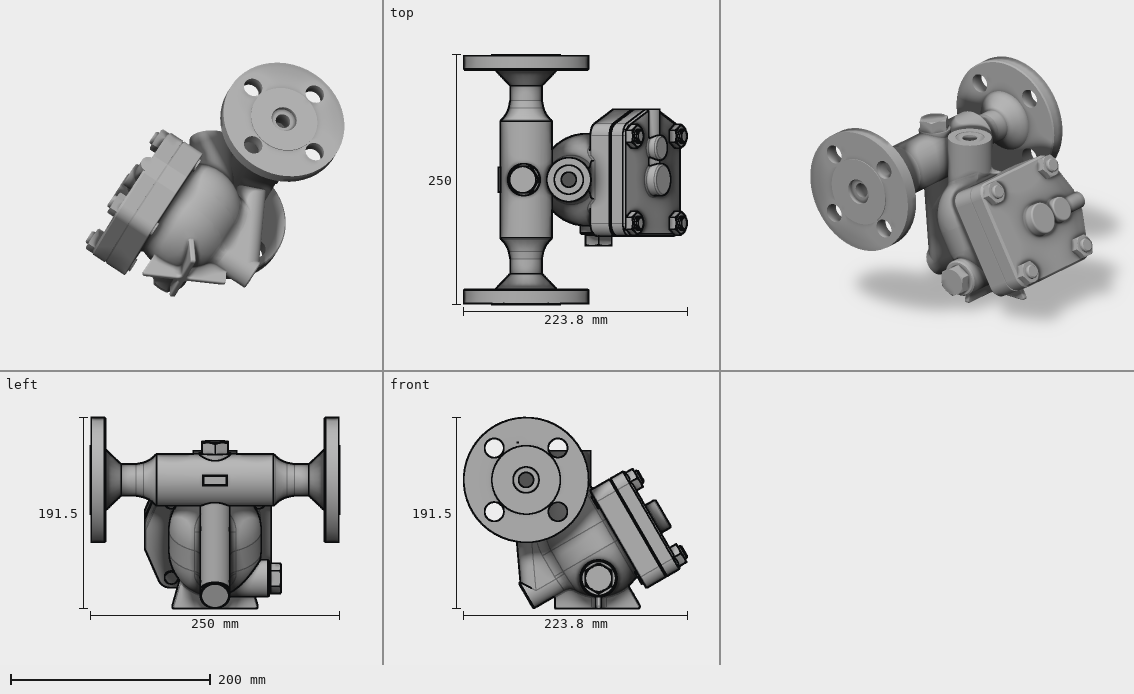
import cadquery as cq
import math

COVER_TILT = math.radians(30)
COVER_DROP = 97.5
LEG_TILT = math.radians(5)

COVER_COS = math.cos(COVER_TILT)
COVER_SIN = math.sin(COVER_TILT)
COVER_FRAME = cq.Plane(
    origin=(COVER_DROP * COVER_SIN, 0, -COVER_DROP * COVER_COS),
    xDir=(0, 1, 0),
    normal=(COVER_COS, 0, COVER_SIN),
)
LEG_FRAME = cq.Plane(
    origin=(0, 0, 0), xDir=(0, 1, 0), normal=(-math.sin(LEG_TILT), 0, math.cos(LEG_TILT))
)
HEAD_TURN_ANGLE = math.radians(30)
SEAM_TOLERANCE = 0.002
OVERLAP = 2.5

HALF_LENGTH = 125.0
FLANGE_DIAMETER = 125.0
FLANGE_THICKNESS = 14.5
FLANGE_CHAMFER = 1.2
FACE_DIAMETER = 68.5
FACE_HEIGHT = 1.0
HUB_RADIUS = 30.8
HUB_LENGTH = 15.5
NECK_DIAMETER = 32.0
NECK_LENGTH = 14.8
COLLAR_RADIUS = 17.5
COLLAR_LENGTH = 7.5
BARREL_DIAMETER = 52.0
BARREL_HALF_LENGTH = 58.2
BARREL_BEVEL = 1.5
BARREL_DROP = 1.0
SHOULDER_SAG = 1.2
BOLT_CIRCLE = 90.0
BOLT_HOLE = 19.0
SOCKET_DIAMETER = 26.0
SOCKET_DEPTH = 5.0
BORE_DIAMETER = 15.0
BORE_DEPTH = 25.0

PLATE_LENGTH = 25.0
PLATE_WIDTH = 10.5
PLATE_OUTER_X = -28.0
PLATE_CENTER_Z = -0.5
PLATE_BORDER = 1.0
PLATE_RECESS = 0.8

PLUG_FLATS = 26.5
TOP_PLUG_SEAT = 26.8
TOP_PLUG_HEIGHT = 11.5
TOP_PLUG_RING = 32.0
DRAIN_PLUG_HEIGHT = 10.5
DRAIN_GASKET = 1.2
DRAIN_GASKET_DIAMETER = 25.0

LEG_DIAMETER = 29.5
CAP_END = -58.0
CAP_DROP = -3.0
CAP_CHAMFER = 1.0
WEB_BLEND = 11.2
WEB_TOP = 62.5

BOWL_RADIUS = 46.2
BOWL_CENTER = 27.5
BOWL_RISE = 24.0

OUTLET_X = 42.8
OUTLET_DIAMETER = 44.0
OUTLET_TOP = 29.2
OUTLET_BOTTOM = -45.0
OUTLET_RECESS_DIAMETER = 29.0
OUTLET_RECESS = 0.8
OUTLET_BORE_DEPTH = 25.0
OUTLET_BLEND = 5.8

DRAIN_DIAMETER = 37.0
DRAIN_Z = -98.5
DRAIN_END = 54.5
DRAIN_CHAMFER = 1.5

PAD_HALF_HEIGHT = 56.5
PAD_HALF_WIDTH = 56.5
PAD_FAR_WIDTH = 70.5
PAD_SHOULDER = 53.2
PAD_POINT_HALF = 11.2
PAD_CORNER = 13.0
PAD_BACK = 50.0
GASKET_BACK = 72.5
COVER_BACK = 74.0
COVER_FACE = 90.2
GASKET_INSET = 0.8
COVER_EDGE = 2.2
FLANGE_EDGE = 1.0
FLANGE_BLEND = 3.0

STUD_SPACING = 87.0
STUD_DIAMETER = 14.0
STUD_BACK = 48.0
STUD_FRONT = 101.5
STUD_CHAMFER = 1.2
NUT_FLATS = 21.0
NUT_FRONT = 98.0

MAIN_BOSS_DIAMETER = 32.0
MAIN_BOSS_FRONT = 102.2
SIDE_BOSS_DIAMETER = 25.0
SIDE_BOSS_FRONT = 100.5
SIDE_BOSS_Y = 32.0
BOSS_EDGE = 1.8
BOSS_BLEND = 1.5
RIB_RADIUS = 8.5
RIB_AXIS = 88.5

FOOT_BOTTOM = -129.0
FOOT_HALF_LENGTH = 43.2
FOOT_HALF_WIDTH = 43.8
FOOT_TOP = -95.0
FOOT_SIDE_SLOPE = math.radians(74)
FOOT_PLATE = 5.5
FOOT_BLEND = 4.8
FOOT_CORNER = 2.5
FOOT_EDGE = 1.5
FOOT_SEAM_BLEND = 1.2

BOWL_X = COVER_DROP * COVER_SIN + BOWL_CENTER * COVER_COS


def placed(shape, frame):
    """Move a shape built in local coordinates to its frame."""
    return cq.Workplane(shape.val().moved(frame.location))


def level(height):
    """Horizontal sketch plane in local coordinates."""
    return cq.Workplane("XY", origin=(0, 0, height))


def rod(diameter, start, end):
    return level(start).circle(diameter / 2).extrude(end - start)


def joined(base, added, blend):
    """Union of two bodies with a fillet along the seam where their surfaces cross."""
    union = base.union(added)

    def on_seam(edge):
        middle = cq.Vertex.makeVertex(*edge.positionAt(0.5).toTuple())
        return all(
            min(face.distance(middle) for face in body.faces().vals()) < SEAM_TOLERANCE
            for body in (base, added)
        )

    seam = [edge for edge in union.edges().vals() if on_seam(edge)]
    return union.newObject(seam).fillet(blend)


def hex_head(flats, start, height):
    """Hexagonal head, corners along local x, with its outer corners turned off."""
    corners = flats / math.cos(math.pi / 6)
    head = level(start).polygon(6, corners).extrude(height)
    turn_in = (corners - flats) / 2
    turn_down = turn_in * math.tan(HEAD_TURN_ANGLE)
    turned = rod(corners, start, start + height).faces(">Z").chamfer(turn_down, turn_in)
    return head.intersect(turned)


def pipe():
    """Barrel with a hollow shoulder, neck, hub and bolted flange at each end."""
    flange_back = HALF_LENGTH - FACE_HEIGHT - FLANGE_THICKNESS
    hub_start = flange_back - HUB_LENGTH
    collar_end = hub_start - NECK_LENGTH
    shoulder_end = collar_end - COLLAR_LENGTH
    barrel = BARREL_DIAMETER / 2
    neck = NECK_DIAMETER / 2
    flange = FLANGE_DIAMETER / 2
    face = FACE_DIAMETER / 2
    shoulder_middle = (
        (barrel + COLLAR_RADIUS) / 2 - SHOULDER_SAG,
        (BARREL_HALF_LENGTH + shoulder_end) / 2,
    )
    half = (
        cq.Workplane("XY")
        .moveTo(0, BARREL_HALF_LENGTH)
        .lineTo(barrel, BARREL_HALF_LENGTH)
        .lineTo(barrel - BARREL_DROP, BARREL_HALF_LENGTH + BARREL_BEVEL)
        .threePointArc(shoulder_middle, (COLLAR_RADIUS, shoulder_end))
        .lineTo(neck, collar_end)
        .lineTo(neck, hub_start)
        .lineTo(HUB_RADIUS, flange_back)
        .lineTo(flange - FLANGE_CHAMFER, flange_back)
        .lineTo(flange, flange_back + FLANGE_CHAMFER)
        .lineTo(flange, HALF_LENGTH - FACE_HEIGHT)
        .lineTo(face, HALF_LENGTH - FACE_HEIGHT)
        .lineTo(face, HALF_LENGTH)
        .lineTo(0, HALF_LENGTH)
        .close()
        .revolve(360, (0, 0, 0), (0, 1, 0))
    )
    end = cq.Workplane("XZ", origin=(0, HALF_LENGTH, 0))
    spacing = BOLT_CIRCLE / math.sqrt(2)
    holes = end.rect(spacing, spacing, forConstruction=True).vertices()
    half = half.cut(holes.circle(BOLT_HOLE / 2).extrude(FLANGE_THICKNESS + HUB_LENGTH))
    half = half.cut(end.circle(SOCKET_DIAMETER / 2).extrude(SOCKET_DEPTH))
    half = half.cut(end.circle(BORE_DIAMETER / 2).extrude(BORE_DEPTH))
    middle = rod(BARREL_DIAMETER, -BARREL_HALF_LENGTH, BARREL_HALF_LENGTH).rotate((0, 0, 0), (1, 0, 0), 90)
    return middle.union(half).union(half.mirror("XZ"))


def name_plate():
    plate = cq.Workplane("XY").box(
        -PLATE_OUTER_X - BARREL_DIAMETER / 4, PLATE_LENGTH, PLATE_WIDTH, centered=(False, True, True)
    )
    plate = plate.translate((PLATE_OUTER_X, 0, PLATE_CENTER_Z))
    return (
        plate.faces("<X").workplane(centerOption="CenterOfMass")
        .rect(PLATE_LENGTH - 2 * PLATE_BORDER, PLATE_WIDTH - 2 * PLATE_BORDER)
        .cutBlind(-PLATE_RECESS)
    )


def top_plug():
    """Hexagonal plug opposite the strainer leg, with its corners pointing along X."""
    ring = rod(TOP_PLUG_RING, 0, TOP_PLUG_SEAT)
    head = hex_head(PLUG_FLATS, TOP_PLUG_SEAT, TOP_PLUG_HEIGHT).rotate((0, 0, 0), (0, 0, 1), 90)
    return placed(ring.union(head), LEG_FRAME)


def strainer_leg():
    """Leg running down from the pipe and stopping on the axis of its slanted cap."""
    leg = placed(rod(LEG_DIAMETER, -2 * COVER_DROP, 0), LEG_FRAME)
    room = level(CAP_END + CAP_CHAMFER).center(0, CAP_DROP + COVER_DROP)
    room = room.rect(2 * LEG_DIAMETER, 2 * COVER_DROP).extrude(2 * COVER_DROP)
    cap = rod(LEG_DIAMETER, CAP_END, BOWL_CENTER).faces("<Z").chamfer(CAP_CHAMFER)
    cap = cap.translate((0, CAP_DROP, 0))
    return leg.intersect(placed(room, COVER_FRAME)).union(placed(cap, COVER_FRAME))


def web():
    """Round-ended slab as wide as the leg, filling the corner between leg, cap and bowl."""
    radius = LEG_DIAMETER / 2
    middle = (CAP_DROP + WEB_TOP - radius) / 2
    slab = level(CAP_END).center(0, middle)
    slab = slab.slot2D(WEB_TOP - CAP_DROP + radius, LEG_DIAMETER, 90).extrude(BOWL_CENTER - CAP_END)
    behind_leg = level(-2 * COVER_DROP).center(0, -COVER_DROP)
    behind_leg = behind_leg.rect(2 * COVER_DROP, 2 * COVER_DROP).extrude(4 * COVER_DROP)
    return placed(slab, COVER_FRAME).intersect(placed(behind_leg, LEG_FRAME))


def bowl():
    """Round-ended bowl stretched up along the cover, stopping inside the body flange."""
    ball = cq.Workplane("XY").sphere(BOWL_RADIUS)
    middle = cq.Workplane("XZ").circle(BOWL_RADIUS).extrude(-BOWL_RISE)
    shape = ball.union(middle).union(ball.translate((0, BOWL_RISE, 0)))
    shape = shape.translate((0, 0, BOWL_CENTER))
    front = level(PAD_BACK + OVERLAP).rect(6 * BOWL_RADIUS, 6 * BOWL_RADIUS).extrude(2 * BOWL_RADIUS)
    return placed(shape.cut(front), COVER_FRAME)


def outlet_boss():
    return rod(OUTLET_DIAMETER, OUTLET_BOTTOM, OUTLET_TOP).translate((OUTLET_X, 0, 0))


def outlet_hole():
    recess = rod(OUTLET_RECESS_DIAMETER, OUTLET_TOP - OUTLET_RECESS, OUTLET_TOP)
    bore = rod(BORE_DIAMETER, OUTLET_TOP - OUTLET_BORE_DEPTH, OUTLET_TOP)
    return recess.union(bore).translate((OUTLET_X, 0, 0))


def drain():
    """Boss and hexagonal plug pointing along -Y, with the plug corners up and down."""
    boss = rod(DRAIN_DIAMETER, 0, DRAIN_END).faces(">Z").chamfer(DRAIN_CHAMFER)
    seat = DRAIN_END + DRAIN_GASKET
    gasket = rod(DRAIN_GASKET_DIAMETER, DRAIN_END, seat)
    head = hex_head(PLUG_FLATS, seat, DRAIN_PLUG_HEIGHT).rotate((0, 0, 0), (0, 0, 1), 90)
    frame = cq.Plane(origin=(BOWL_X, 0, DRAIN_Z), xDir=(1, 0, 0), normal=(0, -1, 0))
    return placed(boss.union(gasket).union(head), frame)


def pad(back, front, inset=0.0):
    """Slab with the cover outline: a rectangle with its +Y side drawn out to a blunt point."""
    half_height = PAD_HALF_HEIGHT - inset
    side = -PAD_HALF_WIDTH + inset
    shoulder = PAD_SHOULDER - inset
    far_side = PAD_FAR_WIDTH - inset
    outline = [
        (side, -half_height),
        (shoulder, -half_height),
        (far_side, -PAD_POINT_HALF),
        (far_side, PAD_POINT_HALF),
        (shoulder, half_height),
        (side, half_height),
    ]
    slab = level(back).polyline(outline).close().extrude(front - back)
    return slab.edges("|Z and (<Y or >Y)").fillet(PAD_CORNER)


def body_flange():
    return placed(pad(PAD_BACK, GASKET_BACK).faces("<Z").edges().fillet(FLANGE_EDGE), COVER_FRAME)


def cover():
    """Gasket and cover plate with two round bosses joined to the +Y edge by a rounded rib."""
    plate = pad(COVER_BACK, COVER_FACE).faces(">Z").edges().chamfer(COVER_EDGE)
    plate = plate.union(pad(GASKET_BACK, COVER_BACK, GASKET_INSET))
    main_boss = rod(MAIN_BOSS_DIAMETER, COVER_BACK, MAIN_BOSS_FRONT)
    side_boss = rod(SIDE_BOSS_DIAMETER, COVER_BACK, SIDE_BOSS_FRONT).translate((SIDE_BOSS_Y, 0, 0))
    rib = cq.Workplane("YZ", origin=(0, 0, RIB_AXIS)).circle(RIB_RADIUS).extrude(PAD_FAR_WIDTH)
    for boss in (main_boss, side_boss):
        plate = joined(plate, boss.faces(">Z").fillet(BOSS_EDGE), BOSS_BLEND)
    return placed(plate.union(rib), COVER_FRAME)


def studs():
    """Four studs through the body flange, each with a nut on the cover."""
    stud = rod(STUD_DIAMETER, STUD_BACK, STUD_FRONT).faces(">Z").chamfer(STUD_CHAMFER)
    stud = stud.union(hex_head(NUT_FLATS, COVER_FACE - OVERLAP, NUT_FRONT - COVER_FACE + OVERLAP))
    half = STUD_SPACING / 2
    places = [(x, y, 0) for x in (-half, half) for y in (-half, half)]
    return [placed(stud.translate(place), COVER_FRAME) for place in places]


def foot():
    """Two crossed upright plates under the bowl, blended where they meet."""
    height = FOOT_TOP - FOOT_BOTTOM
    reach = 2 * FOOT_HALF_WIDTH
    cross = level(0).rect(reach, FOOT_PLATE).extrude(height)
    cross = cross.union(level(0).rect(FOOT_PLATE, reach).extrude(height))
    near_center = cq.selectors.BoxSelector((-FOOT_PLATE, -FOOT_PLATE, 0), (FOOT_PLATE, FOOT_PLATE, height))
    cross = cross.edges("|Z").edges(near_center).fillet(FOOT_BLEND)

    lean = height * COVER_SIN / COVER_COS
    long_outline = [
        (-FOOT_HALF_LENGTH, 0),
        (FOOT_HALF_LENGTH, 0),
        (FOOT_HALF_LENGTH - lean, height),
        (-FOOT_HALF_LENGTH - lean, height),
    ]
    wide_top = FOOT_HALF_WIDTH - height / math.tan(FOOT_SIDE_SLOPE)
    wide_outline = [
        (-FOOT_HALF_WIDTH, 0),
        (FOOT_HALF_WIDTH, 0),
        (wide_top, height),
        (-wide_top, height),
    ]
    for plane, outline in (("XZ", long_outline), ("YZ", wide_outline)):
        prism = cq.Workplane(plane).polyline(outline).close().extrude(reach, both=True)
        lengthwise = cq.selectors.ParallelDirSelector(prism.plane.zDir)
        cross = cross.intersect(prism.faces("<Z").edges(lengthwise).fillet(FOOT_CORNER))
    cross = cross.faces("<Z").edges().fillet(FOOT_EDGE)
    return cross.translate((BOWL_X, 0, FOOT_BOTTOM))


body = joined(bowl(), body_flange(), FLANGE_BLEND)
body = joined(body, web(), WEB_BLEND)
body = joined(body, foot(), FOOT_SEAM_BLEND)
body = body.union(joined(bowl(), outlet_boss(), OUTLET_BLEND))
result = body.union(pipe()).union(strainer_leg()).union(drain()).union(cover())
for stud in studs():
    result = result.union(stud)
result = result.union(top_plug()).union(name_plate()).cut(outlet_hole())